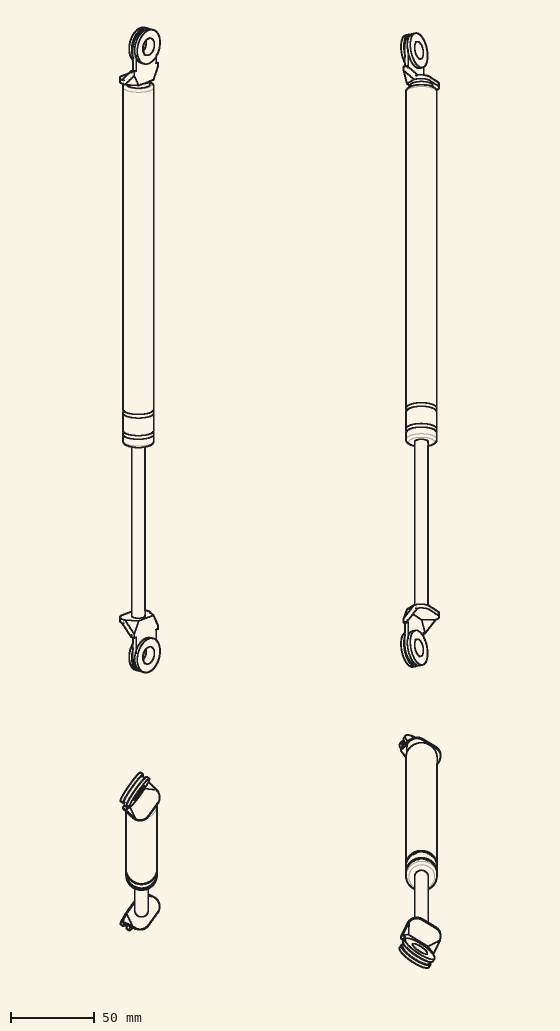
import cadquery as cq

LENGTH = 406.0

CYL_R = 9.5
CYL_TOP = 167.0
CYL_BOTTOM = -60.0
CYL_EDGE_R = 1.5
NECK_R = 7.0
GROOVE_ZS = (-39.8, -53.0)
GROOVE_R = 1.2
GROOVE_DEPTH = 1.0

ROD_R = 4.0
ROD_SOCKET_DEPTH = 20.5

SHEET = 2.5
BASE_Z = 169.5
BASE_LEFT = -8.5
BASE_HALF_WIDTH = 11.0
BASE_CORNER_R = 6.0
LUG_INNER = 3.5
LUG_OUTER = LUG_INNER + SHEET
LUG_HALF_WIDTH = 9.5
FOLD_RISE = 7.5
FOLD_HALF_WIDTH = 7.0

FLANGE_R = 10.5
FLANGE_T = 2.0
BARREL_R = 7.5
BORE_R = 5.3
EYE_Z = LENGTH / 2 - FLANGE_R


def disc_x(radius, x_start, length):
    """Disc along X, centred on the bracket eye."""
    return cq.Workplane("YZ", origin=(x_start, 0, EYE_Z)).circle(radius).extrude(length)


def tetrahedron(a, b, c, d):
    """Solid with the four given corners."""
    faces = []
    for corners in ((a, b, c), (a, b, d), (a, c, d), (b, c, d)):
        outline = cq.Wire.makePolygon([cq.Vector(*p) for p in corners], close=True)
        faces.append(cq.Face.makeFromWires(outline))
    return cq.Workplane(cq.Solid.makeSolid(cq.Shell.makeShell(faces)))


def fold_corner(x, z, side):
    """Corner wedge with its right angle at (x, z) on one Y edge of the bend."""
    edge_y = side * BASE_HALF_WIDTH
    return tetrahedron(
        (x, edge_y, z),
        (x - FOLD_RISE, edge_y, z),
        (x, edge_y, z + FOLD_RISE),
        (x, side * FOLD_HALF_WIDTH, z),
    )


def make_bracket():
    """Upper bracket, lug upward."""
    base = (
        cq.Workplane("XY")
        .box(LUG_OUTER - BASE_LEFT, 2 * BASE_HALF_WIDTH, SHEET, centered=(False, True, False))
        .translate((BASE_LEFT, 0, BASE_Z))
        .edges("|Z and <X").fillet(BASE_CORNER_R)
    )
    lug = (
        cq.Workplane("XY")
        .box(SHEET, 2 * LUG_HALF_WIDTH, EYE_Z - BASE_Z, centered=(False, True, False))
        .translate((LUG_INNER, 0, BASE_Z))
    )
    flare = (
        cq.Workplane("XY")
        .box(SHEET, 2 * BASE_HALF_WIDTH, SHEET + FOLD_RISE, centered=(False, True, False))
        .translate((LUG_INNER, 0, BASE_Z))
    )
    bracket = base.union(lug).union(flare).union(disc_x(LUG_HALF_WIDTH, LUG_INNER, SHEET))
    for side in (-1, 1):
        bracket = bracket.union(fold_corner(LUG_INNER, BASE_Z + SHEET, side))
        bracket = bracket.cut(fold_corner(LUG_OUTER, BASE_Z, side))
    return bracket.cut(disc_x(BARREL_R, LUG_INNER, SHEET))


def make_grommet():
    """Upper grommet, flanged on both faces of the lug."""
    barrel = disc_x(BARREL_R, LUG_INNER, SHEET)
    near_flange = disc_x(FLANGE_R, LUG_INNER - FLANGE_T, FLANGE_T)
    far_flange = disc_x(FLANGE_R, LUG_OUTER, FLANGE_T)
    bore = disc_x(BORE_R, LUG_INNER - FLANGE_T, SHEET + 2 * FLANGE_T)
    return barrel.union(near_flange).union(far_flange).cut(bore)


def make_cylinder():
    body = (
        cq.Workplane("XY", origin=(0, 0, CYL_BOTTOM))
        .circle(CYL_R).extrude(CYL_TOP - CYL_BOTTOM)
        .edges("%CIRCLE").fillet(CYL_EDGE_R)
    )
    neck = cq.Workplane("XY", origin=(0, 0, CYL_TOP)).circle(NECK_R).extrude(BASE_Z - CYL_TOP)
    body = body.union(neck)
    groove_path_r = CYL_R + GROOVE_R - GROOVE_DEPTH
    for z in GROOVE_ZS:
        ring = cq.Solid.makeTorus(groove_path_r, GROOVE_R, cq.Vector(0, 0, z), cq.Vector(0, 0, 1))
        body = body.cut(cq.Workplane(ring))
    socket = cq.Workplane("XY", origin=(0, 0, CYL_BOTTOM)).circle(ROD_R).extrude(ROD_SOCKET_DEPTH)
    return body.cut(socket)


def make_rod():
    rod_top = CYL_BOTTOM + ROD_SOCKET_DEPTH
    return cq.Workplane("XY", origin=(0, 0, -BASE_Z)).circle(ROD_R).extrude(rod_top + BASE_Z)


def both_ends(part):
    """The upper part and its mirror image at the lower end."""
    return [part.val(), part.mirror("XY").val()]


cylinder = make_cylinder()
rod = make_rod()
brackets = both_ends(make_bracket())
grommets = both_ends(make_grommet())

result = cq.Compound.makeCompound([cylinder.val(), rod.val(), *brackets, *grommets])